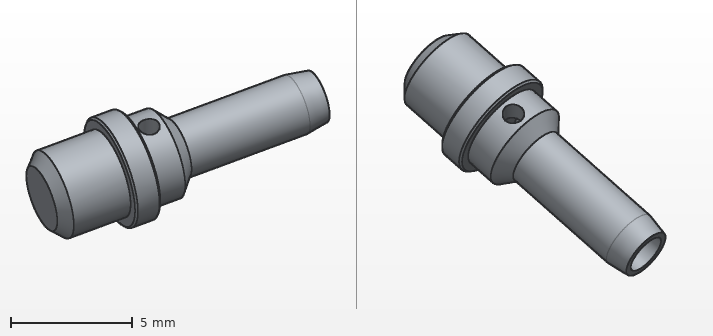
import cadquery as cq

total_length = 12.68
plug_radius = 1.93
plug_chamfer = 0.51
collar_radius = 2.42
collar_start = 3.12
collar_end = 4.29
collar_chamfer = 0.09
neck_radius = 1.98
neck_end = 5.6
shoulder_end = 6.24
pin_radius = 1.3
tip_radius = 1.14
tip_length = 1.0
bore_radius = 0.87
bore_floor = collar_end
vent_diameter = 0.89
vent_position = 4.93


def turned_body():
    """Revolve the half profile, listed as (radius, Y), about the Y axis."""
    profile = [
        (0, 0),
        (plug_radius - plug_chamfer, 0),
        (plug_radius, plug_chamfer),
        (plug_radius, collar_start),
        (collar_radius - collar_chamfer, collar_start),
        (collar_radius, collar_start + collar_chamfer),
        (collar_radius, collar_end - collar_chamfer),
        (collar_radius - collar_chamfer, collar_end),
        (neck_radius, collar_end),
        (neck_radius, neck_end),
        (pin_radius, shoulder_end),
        (pin_radius, total_length - tip_length),
        (tip_radius, total_length),
        (0, total_length),
    ]
    return cq.Workplane("XY").polyline(profile).close().revolve(360, (0, 0, 0), (0, 1, 0))


def axial_bore():
    """Blind bore running from the tip back to the collar."""
    return (
        cq.Workplane("XZ", origin=(0, total_length, 0))
        .circle(bore_radius)
        .extrude(total_length - bore_floor)
    )


def vent_hole():
    """Radial hole through the +Z side of the neck into the bore."""
    return (
        cq.Workplane("XY")
        .center(0, vent_position)
        .circle(vent_diameter / 2)
        .extrude(collar_radius)
    )


result = turned_body().cut(axial_bore()).cut(vent_hole())